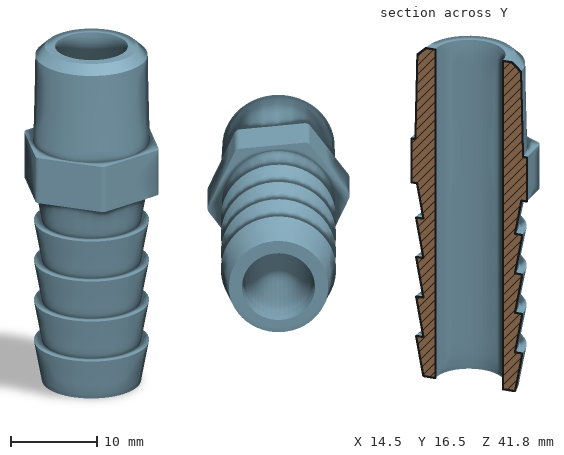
import cadquery as cq
import math

total_length = 41.75
barb_pitch = 5.0
full_barbs = 4
hex_bottom = 24.35
hex_top = 30.0
chamfer_height = 1.05

across_flats = 14.5
hex_edge_radius = 0.75

bore_radius = 4.2
barb_small_radius = 5.75
barb_large_radius = 6.7
spigot_base_radius = 6.75
spigot_shoulder_radius = 6.5
spigot_tip_radius = 5.4


def barb_tail():
    """Stack of cones widening upward, the last one cut short by the collar."""
    slope = (barb_large_radius - barb_small_radius) / barb_pitch
    points = [(0, 0)]
    for i in range(full_barbs):
        points.append((barb_small_radius, i * barb_pitch))
        points.append((barb_large_radius, (i + 1) * barb_pitch))
    neck_bottom = full_barbs * barb_pitch
    neck_radius = barb_small_radius + slope * (hex_bottom - neck_bottom)
    points.append((barb_small_radius, neck_bottom))
    points.append((neck_radius, hex_bottom))
    points.append((0, hex_bottom))
    return revolve_profile(points)


def tapered_spigot():
    """Slightly tapered spigot with a chamfered tip."""
    return revolve_profile([
        (0, hex_top),
        (spigot_base_radius, hex_top),
        (spigot_shoulder_radius, total_length - chamfer_height),
        (spigot_tip_radius, total_length),
        (0, total_length),
    ])


def revolve_profile(points):
    """Turn a closed (radius, height) outline about the Z axis."""
    return cq.Workplane("XZ").polyline(points).close().revolve(360, (0, 0), (0, 1))


def hex_collar():
    """Hexagon with flats facing X, corners along Y and rounded upright edges."""
    across_corners = across_flats / math.cos(math.pi / 6)
    return (
        cq.Workplane("XY")
        .workplane(offset=hex_bottom)
        .polygon(6, across_corners)
        .extrude(hex_top - hex_bottom)
        .edges("|Z")
        .fillet(hex_edge_radius)
        .rotate((0, 0, 0), (0, 0, 1), 30)
    )


bore = cq.Workplane("XY").circle(bore_radius).extrude(total_length)

result = barb_tail().union(hex_collar()).union(tapered_spigot()).cut(bore)